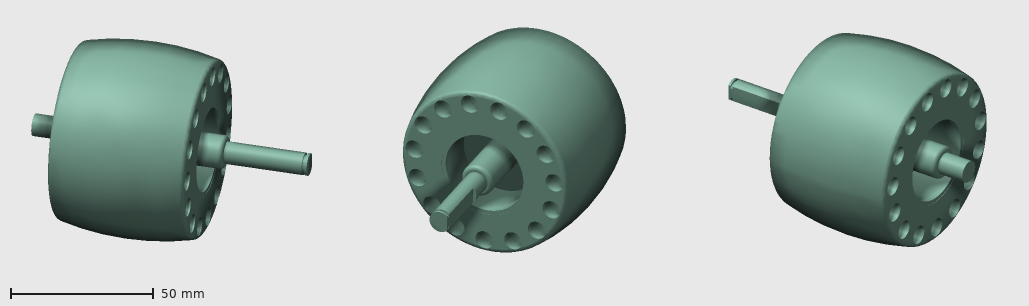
import cadquery as cq
import math

drum_width = 49.7
crown_radius = 35.0
rim_radius = 31.8
rim_fillet = 1.7

hole_count = 15
hole_diameter = 6.8
hole_circle_radius = 27.3

recess_radius = 15.0
recess_depth = 15.0
mouth_radius = 16.5
mouth_depth = 0.1

hub_radius = 6.0
hub_left = -28.2
hub_right = 31.5
hub_fillet = 1.5

shaft_length = 100.3
shaft_radius = 4.0
shaft_left = -38.5
shaft_right = shaft_left + shaft_length
groove_radius = 3.4
groove_width = 0.9
groove_end_distance = 0.9
flat_offset = 2.8
flat_length = 21.7


def cylinder_x(radius, start, end):
    """Solid cylinder on the X axis between two X positions."""
    return cq.Workplane("YZ", origin=(start, 0, 0)).circle(radius).extrude(end - start)


def make_drum():
    """Crowned body of revolution with rounded rims."""
    half_width = drum_width / 2
    body = (
        cq.Workplane("XY")
        .moveTo(-half_width, 0)
        .lineTo(-half_width, rim_radius)
        .threePointArc((0, crown_radius), (half_width, rim_radius))
        .lineTo(half_width, 0)
        .close()
        .revolve(360, (0, 0, 0), (1, 0, 0))
    )
    return body.faces("<X or >X").edges().fillet(rim_fillet)


def cut_recesses(body):
    """Stepped round recess in each end face."""
    half_width = drum_width / 2
    for side in (-1, 1):
        face_x = side * half_width
        body = body.cut(cylinder_x(mouth_radius, face_x, face_x - side * mouth_depth))
        body = body.cut(cylinder_x(recess_radius, face_x, face_x - side * recess_depth))
    return body


def cut_holes(body):
    """Ring of through holes, with one hole on the -Z side."""
    for index in range(hole_count):
        angle = 2 * math.pi * index / hole_count
        y = hole_circle_radius * math.sin(angle)
        z = -hole_circle_radius * math.cos(angle)
        hole = cylinder_x(hole_diameter / 2, -drum_width / 2, drum_width / 2)
        body = body.cut(hole.translate((0, y, z)))
    return body


def make_hub():
    """Sleeve around the shaft, rounded at both ends."""
    hub = cylinder_x(hub_radius, hub_left, hub_right)
    return hub.faces("<X or >X").edges().fillet(hub_fillet)


def make_shaft():
    """Shaft with a retaining-ring groove and a flat at its right end."""
    shaft = cylinder_x(shaft_radius, shaft_left, shaft_right)
    groove_end = shaft_right - groove_end_distance
    groove_start = groove_end - groove_width
    groove = cylinder_x(shaft_radius, groove_start, groove_end).cut(
        cylinder_x(groove_radius, groove_start, groove_end)
    )
    flat = cq.Workplane("XY").box(
        flat_length, shaft_radius, 2 * shaft_radius, centered=(False, False, True)
    ).translate((shaft_right - flat_length, flat_offset, 0))
    return shaft.cut(groove).cut(flat)


drum = cut_holes(cut_recesses(make_drum()))
result = drum.union(make_hub()).union(make_shaft())